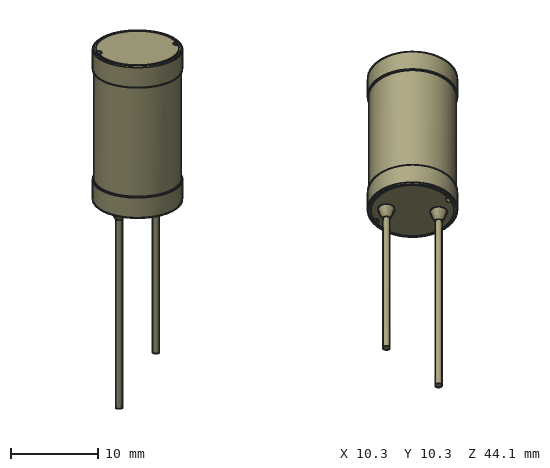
import cadquery as cq
import math


body_height = 19.1
end_band_height = 2.75
end_band_radius = 5.15
waist_radius = 5.03
step_height = end_band_radius - waist_radius
rim_bevel = 0.15
core_radius = 4.75
groove_radius = 0.47

lead_radius = 0.4
lead_spacing = 6.0
lead_line_angle = 120.0
short_lead_length = 20.0
long_lead_length = 25.0
solder_height = 1.35
solder_top_radius = 0.97
solder_mid_radius = 0.8
solder_mid_depth = 0.55


def make_core():
    """Cylindrical core with two wire grooves along opposite sides."""
    core = cq.Workplane("XY").circle(core_radius).extrude(body_height)
    grooves = (
        cq.Workplane("XY")
        .pushPoints([(0, core_radius), (0, -core_radius)])
        .circle(groove_radius)
        .extrude(body_height)
    )
    return core.cut(grooves)


def make_sleeve():
    """Tube around the core with a wider band at each end; rims and steps to the waist are bevelled."""
    upper_band_bottom = body_height - end_band_height
    return (
        cq.Workplane("XZ")
        .moveTo(core_radius, 0)
        .lineTo(end_band_radius - rim_bevel, 0)
        .lineTo(end_band_radius, rim_bevel)
        .lineTo(end_band_radius, end_band_height - step_height)
        .lineTo(waist_radius, end_band_height)
        .lineTo(waist_radius, upper_band_bottom)
        .lineTo(end_band_radius, upper_band_bottom + step_height)
        .lineTo(end_band_radius, body_height - rim_bevel)
        .lineTo(end_band_radius - rim_bevel, body_height)
        .lineTo(core_radius, body_height)
        .close()
        .revolve(360, (0, 0, 0), (0, 1, 0))
    )


def make_lead(position, length):
    """Straight round wire hanging from the bottom of the core."""
    return cq.Workplane("XY").center(*position).circle(lead_radius).extrude(-length)


def make_solder(position):
    """Domed solder collar around the top of a lead."""
    collar = (
        cq.Workplane("XZ")
        .moveTo(lead_radius, 0)
        .lineTo(solder_top_radius, 0)
        .threePointArc((solder_mid_radius, -solder_mid_depth), (lead_radius, -solder_height))
        .close()
        .revolve(360, (0, 0, 0), (0, 1, 0))
    )
    return collar.translate((*position, 0))


lead_offset_x = lead_spacing / 2 * math.cos(math.radians(lead_line_angle))
lead_offset_y = lead_spacing / 2 * math.sin(math.radians(lead_line_angle))

core = make_core()
sleeve = make_sleeve()
leads = []
solder_collars = []
for side, length in ((1, short_lead_length), (-1, long_lead_length)):
    position = (side * lead_offset_x, side * lead_offset_y)
    leads.append(make_lead(position, length))
    solder_collars.append(make_solder(position))

bodies = [core, sleeve, *leads, *solder_collars]
result = cq.Compound.makeCompound([body.val() for body in bodies])